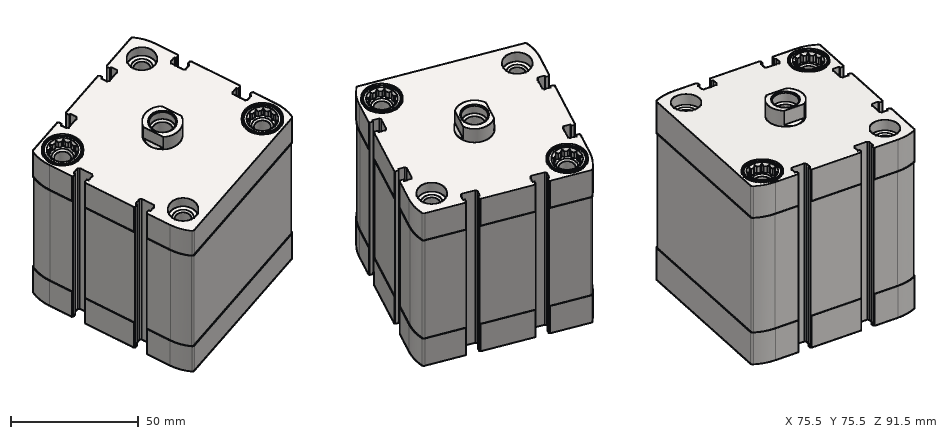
import cadquery as cq
import math

width = 75.5
body_height = 84.0
cap_height = 15.0
hole_pitch = 56.5
corner_arc_radius = 20.0
edge_radius = 1.05
barrel_inset = 0.25

slot_offset = 14.5
slot_mouth_width = 5.4
slot_inner_width = 7.0
slot_lip = 1.8
slot_depth = 5.2
slot_mouth_chamfer = 0.4
slot_floor_chamfer = 0.6

thread_core_dia = 6.65
thread_entry_dia = 8.57
thread_entry_angle = 120.0
counterbore_dia = 12.0
counterbore_depth = 5.0
head_dia = 15.5
head_recess_dia = 16.4
head_recess_depth = 0.15
head_gap_depth = 1.0
head_chamfer = 0.5
socket_core_dia = 10.5
socket_tip_dia = 11.8
socket_entry_dia = 12.5
socket_entry_depth = 1.2
socket_depth = 4.25
socket_squares = 3

rod_dia = 16.0
rod_projection = 7.5
rod_engagement = cap_height
flat_width = 13.0
flat_runout_angle = 30.0
rod_thread_core_dia = 8.38
rod_counterbore_dia = 10.5
rod_entry_dia = 11.4
rod_counterbore_depth = 4.5
rod_thread_depth = 16.0
drill_point_angle = 118.0

half_width = width / 2
hole_offset = hole_pitch / 2
rod_top = body_height + rod_projection


def cone_depth(top_dia, bottom_dia, included_angle):
    """Depth over which a cone of the given included angle narrows from top_dia to bottom_dia."""
    return (top_dia - bottom_dia) / 2 / math.tan(math.radians(included_angle / 2))


def countersink(top_dia, bottom_dia, top_z, depth):
    """Cone narrowing downwards from top_dia at height top_z."""
    profile = [(0, top_z), (top_dia / 2, top_z), (bottom_dia / 2, top_z - depth), (0, top_z - depth)]
    return cq.Workplane("XZ").polyline(profile).close().revolve(360, (0, 0), (0, 1))


def cylinder(diameter, bottom_z, top_z):
    return cq.Workplane("XY").workplane(offset=bottom_z).circle(diameter / 2).extrude(top_z - bottom_z)


def body_section(bottom_z, height, inset):
    """Square block whose corners fall away along arcs centred in line with the mounting holes."""
    half_side = half_width - inset
    arc_centre_y = half_side - corner_arc_radius
    end_angle = math.acos((half_side - hole_offset) / corner_arc_radius)
    mid_angle = (end_angle + math.pi / 2) / 2

    def arc_point(angle, sign_x, sign_y):
        x = hole_offset + corner_arc_radius * math.cos(angle)
        y = arc_centre_y + corner_arc_radius * math.sin(angle)
        return (sign_x * x, sign_y * y)

    outline = cq.Workplane("XY").workplane(offset=bottom_z).moveTo(-hole_offset, half_side)
    outline = outline.lineTo(hole_offset, half_side)
    outline = outline.threePointArc(arc_point(mid_angle, 1, 1), arc_point(end_angle, 1, 1))
    outline = outline.lineTo(*arc_point(end_angle, 1, -1))
    outline = outline.threePointArc(arc_point(mid_angle, 1, -1), (hole_offset, -half_side))
    outline = outline.lineTo(-hole_offset, -half_side)
    outline = outline.threePointArc(arc_point(mid_angle, -1, -1), arc_point(end_angle, -1, -1))
    outline = outline.lineTo(*arc_point(end_angle, -1, 1))
    outline = outline.threePointArc(arc_point(mid_angle, -1, 1), (-hole_offset, half_side))
    block = outline.close().extrude(height)
    corners = [arc_point(end_angle, sign_x, sign_y) for sign_x in (-1, 1) for sign_y in (-1, 1)]
    for x, y in corners:
        edge = cq.selectors.NearestToPointSelector((x, y, bottom_z + height / 2))
        block = block.edges(edge).fillet(edge_radius)
    return block


def t_slot():
    """Full-height T-slot cutter opening through the -Y side, centred on x = 0."""
    mouth = slot_mouth_width / 2
    inner = slot_inner_width / 2
    right_half = [
        (mouth + slot_mouth_chamfer, 0),
        (mouth, slot_mouth_chamfer),
        (mouth, slot_lip),
        (inner, slot_lip),
        (inner, slot_depth - slot_floor_chamfer),
        (inner - slot_floor_chamfer, slot_depth),
    ]
    left_half = [(-x, y) for x, y in reversed(right_half)]
    cutter = cq.Workplane("XY").polyline(right_half + left_half).close().extrude(body_height)
    return cutter.translate((0, -half_width, 0))


def threaded_hole(seat_z):
    """Through hole with a countersunk thread entry at height seat_z."""
    entry_depth = cone_depth(thread_entry_dia, thread_core_dia, thread_entry_angle)
    hole = cylinder(thread_core_dia, 0, seat_z)
    return hole.union(countersink(thread_entry_dia, thread_core_dia, seat_z, entry_depth))


def plain_mount():
    seat_z = body_height - counterbore_depth
    return threaded_hole(seat_z).union(cylinder(counterbore_dia, seat_z, body_height))


def screw_mount():
    """Cutter that leaves a chamfered screw head in a ring gap, with a twelve-point socket above the hole."""
    head_top = body_height - head_recess_depth
    seat_z = head_top - socket_depth
    cutter = threaded_hole(seat_z).union(cylinder(socket_core_dia, seat_z, head_top))
    square_side = socket_tip_dia / math.sqrt(2)
    for index in range(socket_squares):
        square = cq.Workplane("XY").workplane(offset=seat_z).rect(square_side, square_side)
        points = square.extrude(socket_depth)
        turn = 45 + index * 90 / socket_squares
        cutter = cutter.union(points.rotate((0, 0, 0), (0, 0, 1), turn))
    cutter = cutter.union(countersink(socket_entry_dia, socket_core_dia, head_top, socket_entry_depth))
    gap_bottom = body_height - head_gap_depth
    head = cylinder(head_dia, gap_bottom, head_top).faces(">Z").chamfer(head_chamfer)
    gap = cylinder(head_recess_dia, gap_bottom, body_height).cut(head)
    return cutter.union(gap)


def make_housing():
    barrel_height = body_height - 2 * cap_height
    housing = body_section(0, cap_height, 0)
    housing = housing.union(body_section(cap_height, barrel_height, barrel_inset))
    housing = housing.union(body_section(body_height - cap_height, cap_height, 0))
    for turn in (0, 180, -90):
        for offset in (-slot_offset, slot_offset):
            slot = t_slot().translate((offset, 0, 0)).rotate((0, 0, 0), (0, 0, 1), turn)
            housing = housing.cut(slot)
    for side in (-1, 1):
        housing = housing.cut(plain_mount().translate((side * hole_offset, -side * hole_offset, 0)))
        housing = housing.cut(screw_mount().translate((side * hole_offset, side * hole_offset, 0)))
    return housing.cut(cylinder(rod_dia, body_height - rod_engagement, body_height))


def make_piston_rod():
    rod = cylinder(rod_dia, body_height - rod_engagement, rod_top)

    runout = (rod_dia - flat_width) / 2
    flat_bottom = body_height + runout * math.tan(math.radians(flat_runout_angle))
    flat_profile = [
        (flat_width / 2, rod_top),
        (flat_width / 2, flat_bottom),
        (rod_dia / 2, body_height),
        (rod_dia / 2, rod_top),
    ]
    flat = cq.Workplane("YZ").polyline(flat_profile).close().extrude(rod_dia / 2, both=True)
    rod = rod.cut(flat).cut(flat.mirror("XZ"))

    point_height = cone_depth(rod_thread_core_dia, 0, drill_point_angle)
    thread_entry_depth = cone_depth(rod_counterbore_dia, rod_thread_core_dia, thread_entry_angle)
    core_radius = rod_thread_core_dia / 2
    counterbore_radius = rod_counterbore_dia / 2
    entry_radius = rod_entry_dia / 2
    entry_depth = entry_radius - counterbore_radius
    hole_profile = [
        (0, rod_top),
        (entry_radius, rod_top),
        (counterbore_radius, rod_top - entry_depth),
        (counterbore_radius, rod_top - rod_counterbore_depth),
        (core_radius, rod_top - rod_counterbore_depth - thread_entry_depth),
        (core_radius, rod_top - rod_thread_depth),
        (0, rod_top - rod_thread_depth - point_height),
    ]
    hole = cq.Workplane("XZ").polyline(hole_profile).close().revolve(360, (0, 0), (0, 1))
    return rod.cut(hole)


housing = make_housing()
piston_rod = make_piston_rod()
result = cq.Compound.makeCompound([housing.val(), piston_rod.val()])